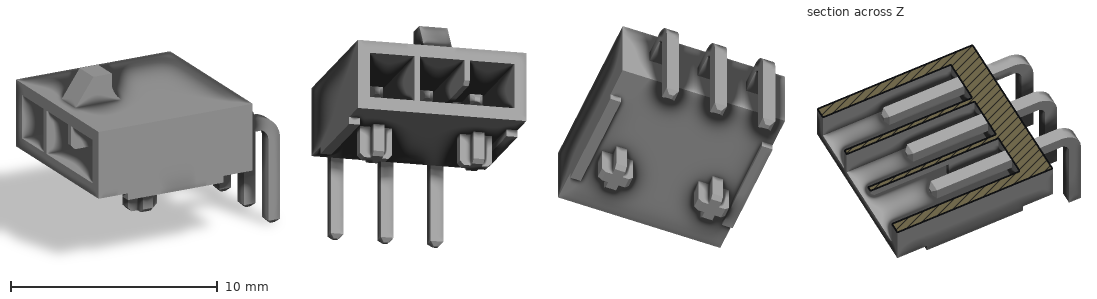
import cadquery as cq


housing_width = 8.44
housing_depth = 8.45
housing_height = 3.43
housing_middle = housing_height / 2

pin_count = 3
pin_pitch = 2.5
pin_positions = [(i - (pin_count - 1) / 2) * pin_pitch for i in range(pin_count)]
socket_size = 2.23
socket_depth = 6.95
socket_floor = housing_middle - socket_size / 2

window_top = 1.6
window_depth = 4.28
window_chamfer = 0.21

pin_size = 0.64
pin_start = 2.68
pin_end = 10.7
pin_drop = 3.51
pin_bend_reach = 1.01
pin_bend_drop = 1.18
pin_tip_inset = 0.2

latch_width = 1.41
latch_height = 1.43
latch_foot_front = 0.61
latch_top_front = 1.6
latch_top_rear = 2.61
latch_foot_rear = 3.14
latch_arc_height = 0.8
latch_arc_radius = 1.37

pad_width = 0.55
pad_height = 0.34
pad_end_gap = 1.6

peg_span = 1.6
peg_rib = 0.55
peg_length = 1.55
peg_chamfer = 0.2
peg_y = 3.19


def box(x_size, y_size, z_size, x_centre, y_front, z_bottom):
    """Box centred across X that starts at the given front and bottom."""
    corner = (x_centre - x_size / 2, y_front, z_bottom)
    return cq.Workplane("XY").box(x_size, y_size, z_size, centered=False).translate(corner)


def side_profile(x_centre, width):
    """YZ sketch plane whose extrusion by the width is centred on x_centre."""
    return cq.Workplane("YZ", origin=(x_centre - width / 2, 0, 0))


def make_window():
    """Opening from the middle socket to the right one, with a bevelled front lip."""
    web = pin_pitch - socket_size
    return (
        side_profile(pin_pitch / 2, web)
        .moveTo(0, socket_floor)
        .lineTo(window_depth, socket_floor)
        .lineTo(window_depth, window_top)
        .lineTo(window_chamfer, window_top)
        .lineTo(0, window_top + window_chamfer)
        .close()
        .extrude(web)
    )


def make_housing():
    housing = box(housing_width, housing_depth, housing_height, 0, 0, 0)
    for x in pin_positions:
        housing = housing.cut(box(socket_size, socket_depth, socket_size, x, 0, socket_floor))
    return housing.cut(make_window())


def make_latch():
    """Ramp with a sloped front and a hollow rear below a short upright face."""
    return (
        side_profile(0, latch_width)
        .moveTo(latch_foot_front, housing_height)
        .lineTo(latch_top_front, housing_height + latch_height)
        .lineTo(latch_top_rear, housing_height + latch_height)
        .lineTo(latch_top_rear, housing_height + latch_arc_height)
        .radiusArc((latch_foot_rear, housing_height), -latch_arc_radius)
        .close()
        .extrude(latch_width)
    )


def make_pin(x):
    """Square pin bent down behind the housing, with both ends pointed.

    Each bend curve leaves the upright leg tangentially and meets the level leg at a slight angle.
    """
    top = housing_middle + pin_size / 2
    bottom = top - pin_size
    inner_face = pin_end - pin_size
    bend_start = pin_end - pin_bend_reach
    bend_end = top - pin_bend_drop
    inner_reach = pin_bend_reach - pin_size
    inner_drop = bottom - bend_end
    inner_radius = (inner_reach**2 + inner_drop**2) / (2 * inner_reach)
    pin = (
        side_profile(x, pin_size)
        .moveTo(pin_end, -pin_drop)
        .lineTo(pin_end, bend_end)
        .tangentArcPoint((bend_start, top), relative=False)
        .lineTo(pin_start, top)
        .lineTo(pin_start, bottom)
        .lineTo(bend_start, bottom)
        .radiusArc((inner_face, bend_end), inner_radius)
        .lineTo(inner_face, -pin_drop)
        .close()
        .extrude(pin_size)
    )
    return pin.faces("<Y or <Z").chamfer(pin_tip_inset)


def make_pads():
    pad_length = housing_depth - 2 * pad_end_gap
    pad_x = (housing_width - pad_width) / 2
    pads = cq.Workplane("XY")
    for x in (-pad_x, pad_x):
        pads = pads.add(box(pad_width, pad_length, pad_height, x, pad_end_gap, -pad_height))
    return pads.combine()


def make_peg(x):
    """Two crossed ribs whose lower ends are bevelled."""
    rib_x = box(peg_span, peg_rib, peg_length, x, peg_y - peg_rib / 2, -peg_length)
    rib_y = box(peg_rib, peg_span, peg_length, x, peg_y - peg_span / 2, -peg_length)
    rib_x = rib_x.faces("<Z").edges("|Y").chamfer(peg_chamfer)
    rib_y = rib_y.faces("<Z").edges("|X").chamfer(peg_chamfer)
    return rib_x.union(rib_y)


result = make_housing().union(make_latch()).union(make_pads())
for pin_x in pin_positions:
    result = result.union(make_pin(pin_x))
for peg_x in (pin_positions[0], pin_positions[-1]):
    result = result.union(make_peg(peg_x))